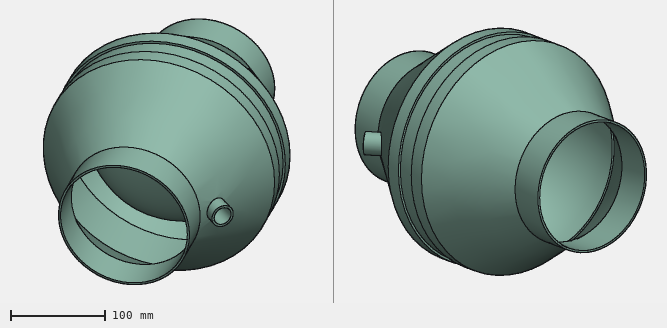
import cadquery as cq
import math

length = 320.0
ring_radius = 128.0
sleeve_radius = 251.0 / 2
bore_radius = 246.0 / 2
spigot_outer_radius = 145.0 / 2
spigot_inner_radius = 140.0 / 2
spigot_length = 40.0
ring_end = 29.0
groove_half_width = 11.2
groove_clearance = 3.2

half_length = length / 2
cone_end = half_length - spigot_length

dome_radius = 104.0
dome_apex_y = -42.0
dome_wall = 2.5

tube_outer_radius = 12.5
tube_inner_radius = 10.0
tube_angle = 42.0
tube_end_x = 95.0
tube_end_y = -112.3
tube_length = 128.0


def revolve_about_y(profile):
    """Close a half profile on the Y axis and spin it into a solid."""
    return profile.close().revolve(axisStart=(0, 0, 0), axisEnd=(0, 1, 0))


def envelope(spigot_radius, wide_radius):
    """Solid of two spigots and two cones joined by a wide cylinder."""
    return revolve_about_y(
        cq.Workplane("XY")
        .moveTo(0, -half_length)
        .lineTo(spigot_radius, -half_length)
        .lineTo(spigot_radius, -cone_end)
        .lineTo(wide_radius, -ring_end)
        .lineTo(wide_radius, ring_end)
        .lineTo(spigot_radius, cone_end)
        .lineTo(spigot_radius, half_length)
        .lineTo(0, half_length)
    )


def groove():
    """Shallow band around the middle of the body."""
    return (
        cq.Workplane("XZ", origin=(0, groove_half_width, 0))
        .circle(ring_radius + groove_clearance)
        .circle(sleeve_radius)
        .extrude(2 * groove_half_width)
    )


def dome_solid(radius):
    """Half ball, flat on its +Y side."""
    center_y = dome_apex_y + dome_radius
    return revolve_about_y(
        cq.Workplane("XY")
        .moveTo(0, center_y)
        .lineTo(0, center_y - radius)
        .radiusArc((radius, center_y), -radius)
    )


def tube_rod(radius):
    """Rod from the outer tube end inward along the tube axis."""
    angle = math.radians(tube_angle)
    inward = cq.Vector(-math.sin(angle), math.cos(angle), 0)
    start = cq.Vector(tube_end_x, tube_end_y, 0)
    return cq.Workplane(cq.Solid.makeCylinder(radius, tube_length, start, inward))


cavity = envelope(spigot_inner_radius, bore_radius)
shell = envelope(spigot_outer_radius, ring_radius).cut(groove()).cut(cavity)
dome_core = dome_solid(dome_radius - dome_wall)
dome = dome_solid(dome_radius).cut(dome_core)
tube = tube_rod(tube_outer_radius).cut(dome_core)
result = shell.union(dome.intersect(cavity)).union(tube).cut(tube_rod(tube_inner_radius))